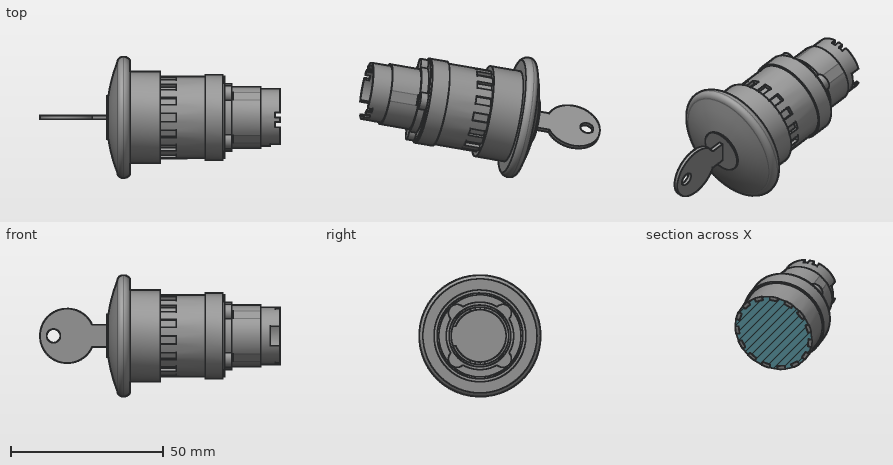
import cadquery as cq
import math


head_radius = 20.0
rim_x = -12.15
dome_radius = 49.0
dome_edge_radius = 18.05
dome_edge_x = -14.2
head_back_radius = 18.75
head_back_x = -9.9
collar_radius = 15.1

plate_radius = 7.1
plate_face_x = -17.65
key_length = 21.94
key_thickness = 1.3
key_head_radius = 9.0
key_neck_width = 7.4
key_hole_radius = 2.2
key_hole_inset = 4.5

body_radius = 13.5
body_end_x = 21.1
ring_radius = 14.1
ring_start_x = 14.7
ring_end_x = 20.5
flange_radius = 11.1
flange_end_x = 23.5
neck_radius = 10.15
neck_end_x = 33.05
tail_radius = 9.45
tail_end_x = 39.36

pocket_count = 15
pocket_width = 2.7
pocket_length = 5.2
pocket_depth = 1.3

diagonal_angles = (45, 135, 225, 315)
lobe_radius = 2.8
lobe_offset = 7.55
flat_start_x = 24.0
flat_distance = 10.0

bore_radius = 8.6
window_width = 6.4
window_length = 3.3
end_slot_length = 1.7
end_slot_spans = ((-3.2, -1.55), (0.05, 1.6))


def cylinder(radius, start_x, end_x, y=0.0, z=0.0):
    """Cylinder parallel to X between two stations."""
    return cq.Workplane("YZ", origin=(start_x, y, z)).circle(radius).extrude(end_x - start_x)


def block(start_x, end_x, start_y, end_y, start_z, end_z):
    """Axis-aligned box given by its limits."""
    size = (end_x - start_x, end_y - start_y, end_z - start_z)
    return cq.Workplane("XY").box(*size, centered=False).translate((start_x, start_y, start_z))


def turn(shape, angle):
    """Turn a shape about the part axis."""
    return shape.rotate((0, 0, 0), (1, 0, 0), angle)


def rim_arc_middle(end_x, end_radius):
    """Midpoint of the rim arc that leaves the largest diameter parallel to the axis."""
    run = end_x - rim_x
    drop = head_radius - end_radius
    arc_radius = (run**2 + drop**2) / (2 * drop)
    half_angle = math.asin(run / arc_radius) / 2
    return (
        rim_x + arc_radius * math.sin(half_angle),
        head_radius - arc_radius * (1 - math.cos(half_angle)),
    )


def make_head():
    """Spherical dome with a rounded rim and a flat back, then the collar and lock plate."""
    dome_half_angle = math.asin(dome_edge_radius / dome_radius)
    dome_centre_x = dome_edge_x + dome_radius * math.cos(dome_half_angle)

    def dome_point(angle):
        return (dome_centre_x - dome_radius * math.cos(angle), dome_radius * math.sin(angle))

    profile = (
        cq.Workplane("XY")
        .moveTo(*dome_point(0))
        .threePointArc(dome_point(dome_half_angle / 2), dome_point(dome_half_angle))
        .threePointArc(rim_arc_middle(dome_edge_x, dome_edge_radius), (rim_x, head_radius))
        .threePointArc(rim_arc_middle(head_back_x, head_back_radius), (head_back_x, head_back_radius))
        .lineTo(head_back_x, 0)
        .close()
    )
    head = profile.revolve(360, (0, 0, 0), (1, 0, 0))
    collar = cylinder(collar_radius, rim_x, 0)
    plate = cylinder(plate_radius, plate_face_x, rim_x)
    return head.union(collar).union(plate)


def make_key():
    """Flat key in the XZ plane, with its neck seated in the lock plate."""
    key_tip_x = plate_face_x - key_length
    head_centre_x = key_tip_x + key_head_radius
    half_thickness = key_thickness / 2
    half_neck = key_neck_width / 2

    def disc(radius, centre_x):
        plane = cq.Workplane("XZ").center(centre_x, 0)
        return plane.circle(radius).extrude(half_thickness, both=True)

    neck = block(head_centre_x, rim_x, -half_thickness, half_thickness, -half_neck, half_neck)
    hole = disc(key_hole_radius, key_tip_x + key_hole_inset)
    return disc(key_head_radius, head_centre_x).union(neck).cut(hole)


def make_body():
    """Body, ring, lobed flange, neck and tail on one axis."""
    body = cylinder(body_radius, 0, body_end_x)
    body = body.union(cylinder(ring_radius, ring_start_x, ring_end_x))
    body = body.union(cylinder(flange_radius, body_end_x, flange_end_x))
    body = body.union(cylinder(neck_radius, flange_end_x, neck_end_x))
    body = body.union(cylinder(tail_radius, neck_end_x, tail_end_x))
    for y in (-lobe_offset, lobe_offset):
        for z in (-lobe_offset, lobe_offset):
            body = body.union(cylinder(lobe_radius, body_end_x, flange_end_x, y, z))
    return body


def cut_pockets(body):
    """Evenly spaced pockets around the body, one of them facing +Z."""
    half_width = pocket_width / 2
    floor_z = body_radius - pocket_depth
    pocket = block(0, pocket_length, -half_width, half_width, floor_z, ring_radius)
    for index in range(pocket_count):
        body = body.cut(turn(pocket, index * 360 / pocket_count))
    return body


def cut_flats(body):
    """Flats along the neck on the four diagonals."""
    half_width = math.sqrt(neck_radius**2 - flat_distance**2)
    cutter = block(flat_start_x, neck_end_x, -half_width, half_width, flat_distance, neck_radius)
    for angle in diagonal_angles:
        body = body.cut(turn(cutter, angle))
    return body


def cut_tail(body):
    """Bore in the tail, the window on -Y and the slots across the end."""
    window_x = tail_end_x - window_length
    half_window = window_width / 2
    body = body.cut(cylinder(bore_radius, window_x, tail_end_x))
    body = body.cut(block(window_x, tail_end_x, -tail_radius, 0, -half_window, half_window))
    slot_x = tail_end_x - end_slot_length
    for start_y, end_y in end_slot_spans:
        body = body.cut(block(slot_x, tail_end_x, start_y, end_y, -tail_radius, tail_radius))
    return body


body = cut_tail(cut_flats(cut_pockets(make_body())))
result = body.union(make_head()).union(make_key())